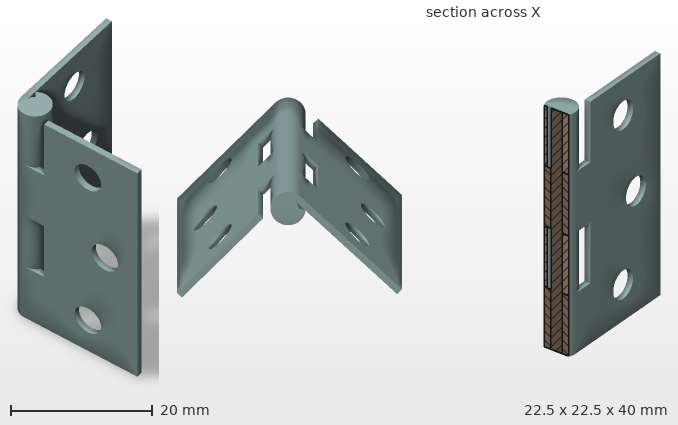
import cadquery as cq
import math

hinge_height = 40.0
leaf_reach = 20.0
leaf_thickness = 1.0
pin_diameter = 3.0
knuckle_count = 4
knuckle_clearance = 1.0
curl_end_angle = 125.0

screw_hole_diameter = 4.7
outer_hole_edge_distance = 8.75
hole_stagger = 3.0
hole_pitch = 14.0

pin_radius = pin_diameter / 2
knuckle_radius = pin_radius + leaf_thickness
knuckle_height = hinge_height / knuckle_count
slot_reach = knuckle_radius + knuckle_clearance
outer_hole_reach = leaf_reach - outer_hole_edge_distance


def polar(radius, degrees):
    angle = math.radians(degrees)
    return (radius * math.cos(angle), radius * math.sin(angle))


def rolled_profile():
    """Flat leaf along +Y whose lower end curls around the hinge axis."""
    middle_angle = (curl_end_angle - 180) / 2
    return (
        cq.Workplane("XY")
        .moveTo(-knuckle_radius, leaf_reach)
        .lineTo(-knuckle_radius, 0)
        .threePointArc(polar(knuckle_radius, middle_angle), polar(knuckle_radius, curl_end_angle))
        .lineTo(*polar(pin_radius, curl_end_angle))
        .threePointArc(polar(pin_radius, middle_angle), (-pin_radius, 0))
        .lineTo(-pin_radius, leaf_reach)
        .close()
    )


def make_leaf(first_slot):
    """Leaf along +Y, slotted at every second knuckle starting from first_slot."""
    leaf = rolled_profile().extrude(hinge_height)
    slot_width = knuckle_radius + slot_reach
    for index in range(first_slot, knuckle_count, 2):
        slot = (
            cq.Workplane("XY")
            .box(2 * knuckle_radius, slot_width, knuckle_height, centered=(True, False, False))
            .translate((0, -knuckle_radius, index * knuckle_height))
        )
        leaf = leaf.cut(slot)
    return leaf.cut(screw_holes())


def screw_holes():
    """Three staggered through holes across the flat of the leaf."""
    middle_z = hinge_height / 2
    centers = [
        (outer_hole_reach, middle_z - hole_pitch),
        (outer_hole_reach + hole_stagger, middle_z),
        (outer_hole_reach, middle_z + hole_pitch),
    ]
    return (
        cq.Workplane("YZ", origin=(-knuckle_radius, 0, 0))
        .pushPoints(centers)
        .circle(screw_hole_diameter / 2)
        .extrude(leaf_thickness)
    )


side_leaf = make_leaf(first_slot=0)

front_leaf = (
    make_leaf(first_slot=1)
    .mirror("YZ")
    .rotate((0, 0, 0), (0, 0, 1), -90)
)

pin = cq.Workplane("XY").circle(pin_radius).extrude(hinge_height)

result = cq.Compound.makeCompound([side_leaf.val(), front_leaf.val(), pin.val()])